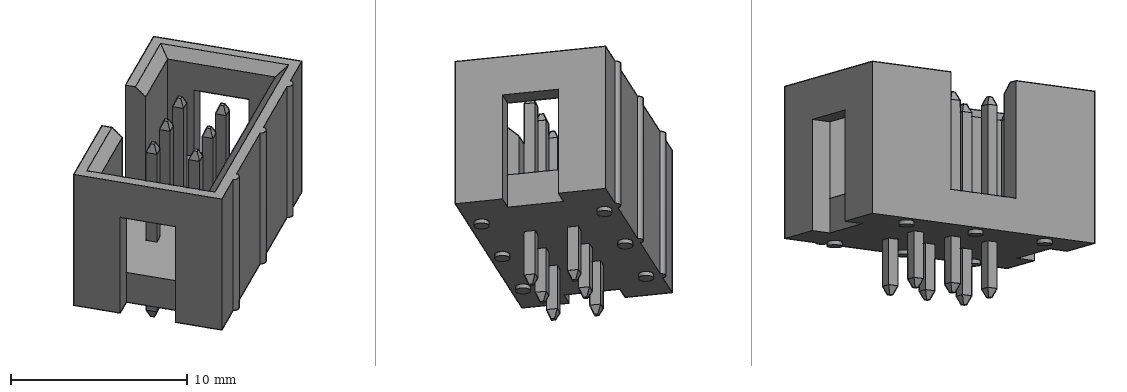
import cadquery as cq

body_x = 8.8
body_y = 15.28
body_z = 8.8
wall = 1.2
floor_z = 2.0

bevel_inset = 0.61
bevel_depth = 0.57

key_notch_y = 4.48
end_slot_x = 3.27
end_slot_bridge = 2.37
end_slot_top_z = body_z - end_slot_bridge

pin_columns = 2
pin_rows = 3
pin_pitch = 2.54
pin_width = 0.64
pin_tip_width = 0.23
pin_taper = 0.5
pin_top_z = 8.4
pin_bottom_z = -3.2

standoff_diameter = 0.85
standoff_height = 0.25
standoff_columns = 2
standoff_rows = 3
standoff_spacing_x = 7.2
standoff_spacing_y = 4.75

rib_count = 3
rib_spacing_y = 5.15
rib_radius = 0.35
rib_projection = 0.25


def centred_box(size_x, size_y, bottom_z, top_z):
    """Box centred on the Z axis between two heights."""
    box = cq.Workplane("XY").workplane(offset=bottom_z)
    return box.rect(size_x, size_y).extrude(top_z - bottom_z)


def frustum(start_x, start_y, start_z, end_x, end_y, end_z):
    """Solid that tapers from one centred rectangle to another."""
    start = cq.Workplane("XY").workplane(offset=start_z).rect(start_x, start_y)
    return start.workplane(offset=end_z - start_z).rect(end_x, end_y).loft(ruled=True)


def make_housing():
    cavity_x = body_x - 2 * wall
    cavity_y = body_y - 2 * wall
    bevel_z = body_z - bevel_depth
    mouth_x = cavity_x + 2 * bevel_inset
    mouth_y = cavity_y + 2 * bevel_inset

    housing = centred_box(body_x, body_y, 0, body_z)
    housing = housing.cut(centred_box(cavity_x, cavity_y, floor_z, body_z))
    housing = housing.cut(frustum(cavity_x, cavity_y, bevel_z, mouth_x, mouth_y, body_z))

    key_notch = centred_box(body_x, key_notch_y, floor_z, body_z)
    housing = housing.cut(key_notch.translate((-body_x / 2, 0, 0)))

    end_slot = centred_box(end_slot_x, wall, 0, end_slot_top_z)
    for side in (-1, 1):
        housing = housing.cut(end_slot.translate((0, side * (body_y - wall) / 2, 0)))
    return housing


def make_pin():
    shank_top_z = pin_top_z - pin_taper
    shank_bottom_z = pin_bottom_z + pin_taper
    pin = centred_box(pin_width, pin_width, shank_bottom_z, shank_top_z)
    for shank_z, tip_z in ((shank_top_z, pin_top_z), (shank_bottom_z, pin_bottom_z)):
        tip = frustum(pin_width, pin_width, shank_z, pin_tip_width, pin_tip_width, tip_z)
        pin = pin.union(tip)
    return pin


def make_standoffs():
    standoffs = cq.Workplane("XY").rarray(
        standoff_spacing_x, standoff_spacing_y, standoff_columns, standoff_rows
    )
    return standoffs.circle(standoff_diameter / 2).extrude(-standoff_height)


def make_ribs():
    rib_x = body_x / 2 + rib_projection - rib_radius
    ribs = cq.Workplane("XY").center(rib_x, 0).rarray(0.15, rib_spacing_y, 1, rib_count)
    return ribs.circle(rib_radius).extrude(body_z)


def pin_centres():
    """Grid positions of the pins, centred on the origin."""
    first_x = -(pin_columns - 1) / 2 * pin_pitch
    first_y = -(pin_rows - 1) / 2 * pin_pitch
    return [
        (first_x + column * pin_pitch, first_y + row * pin_pitch)
        for column in range(pin_columns)
        for row in range(pin_rows)
    ]


result = make_housing().union(make_ribs()).union(make_standoffs())
pin = make_pin()
for pin_x, pin_y in pin_centres():
    result = result.union(pin.translate((pin_x, pin_y, 0)))